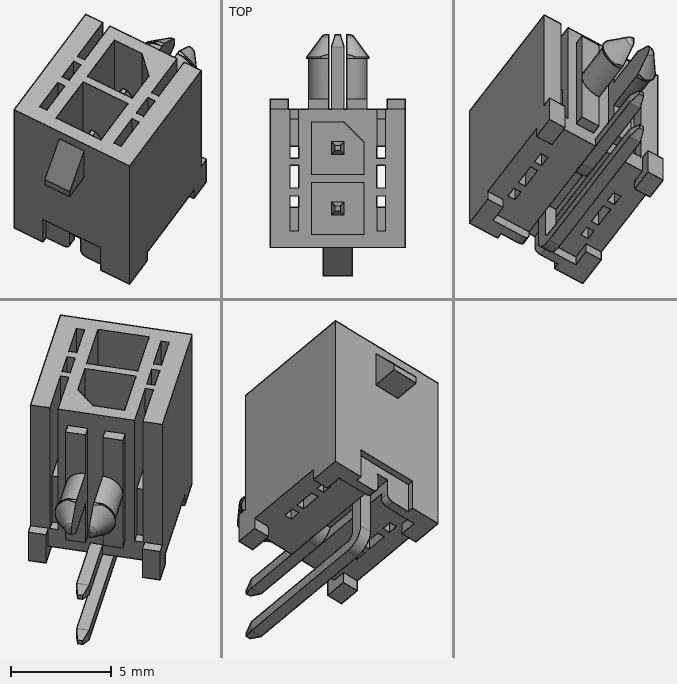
import cadquery as cq
import math


housing_width = 6.7
housing_depth = 6.87
housing_height = 9.91
overall_height = 12.22

foot_inner_x = 2.45
foot_protrusion = 0.5
foot_height = 1.9
rear_foot_start_y = 6.16
front_foot_end_y = 1.7
underside_z = 0.7
recess_width = 3.35
recess_height = 1.9
recess_depth = 0.32
skirt_thickness = 0.45
slot_mouth_radius = 0.37

cavity_size = 2.6
cavity_floor_z = 2.45
key_chamfer = 1.0
front_contact_y = 1.94
rear_contact_y = 4.94
pin_size = 0.64
pin_bend_radius = 0.99
pin_end_y = 10.57
pin_top_z = 8.07
pin_taper_length = 0.61
pin_tip_size = 0.26
front_tail_z = housing_height - overall_height
rear_tail_z = underside_z
pin_slot_top_z = rear_tail_z + pin_size

side_slot_x = 2.15
side_slot_width = 0.42
front_slot = (0.82, 2.55)
middle_slot = (2.97, 4.08)
rear_slot = (4.44, housing_depth)
open_region = (2.02, 5.02)
blind_slot_floor_z = housing_height / 2
rear_groove_start_y = 6.38
rear_groove_floor_z = foot_height

latch_width = 1.44
latch_reach = 1.39
latch_top_z = 9.32
latch_bottom_z = 7.11
latch_lip_height = 0.42

peg_z = 5.34
peg_gap = 0.88
peg_radius = 1.01
peg_head_radius = 1.1
peg_head_start_y = 9.37
peg_end_y = pin_end_y
peg_lip_thickness = 0.09
peg_tip_radius = 0.28
peg_nose_fillet = 0.3
pad_top_z = 8.92


def box(x_range, y_range, z_range):
    """Axis-aligned block given by its limits along X, Y and Z."""
    limits = (x_range, y_range, z_range)
    sizes = [high - low for low, high in limits]
    corner = tuple(low for low, high in limits)
    return cq.Workplane("XY").box(*sizes, centered=False).translate(corner)


def centered_box(width, y_range, z_range):
    """Block symmetric about the X = 0 plane."""
    return box((-width / 2, width / 2), y_range, z_range)


def both_sides(shape):
    """The shape and its mirror image across the X = 0 plane."""
    return shape.union(shape.mirror("YZ"))


def make_rear_feet():
    rear_y = housing_depth + foot_protrusion
    return both_sides(
        box((foot_inner_x, housing_width / 2), (rear_foot_start_y, rear_y), (0, foot_height))
    )


def make_underside_hollow():
    """Opening between the feet, and the full-width gap between front and rear feet."""
    hollow = centered_box(
        2 * foot_inner_x, (recess_depth + skirt_thickness, housing_depth), (0, underside_z)
    )
    side_gap = centered_box(housing_width, (front_foot_end_y, rear_foot_start_y), (0, underside_z))
    return hollow.union(side_gap)


def make_front_recess():
    return centered_box(recess_width, (0, recess_depth), (0, recess_height))


def make_pin_slot():
    """Slot along Y that holds the rear tail, its mouth rounded outwards at the bottom."""
    half = pin_size / 2
    mouth = half + slot_mouth_radius
    arc_mid = slot_mouth_radius * (1 - math.cos(math.radians(45)))
    return (
        cq.Workplane("XZ", origin=(0, recess_depth, 0))
        .moveTo(-mouth, 0)
        .threePointArc((-half - arc_mid, arc_mid), (-half, slot_mouth_radius))
        .lineTo(-half, pin_slot_top_z)
        .lineTo(half, pin_slot_top_z)
        .lineTo(half, slot_mouth_radius)
        .threePointArc((half + arc_mid, arc_mid), (mouth, 0))
        .close()
        .extrude(recess_depth - housing_depth)
    )


def make_cavity(contact_y):
    half = cavity_size / 2
    return centered_box(
        cavity_size, (contact_y - half, contact_y + half), (cavity_floor_z, housing_height)
    )


def make_side_slots():
    """Slots open from the top; only the stretch inside the open region goes right through."""
    x_range = (side_slot_x - side_slot_width / 2, side_slot_x + side_slot_width / 2)
    open_start, open_end = open_region
    blind = (blind_slot_floor_z, housing_height)
    through = (0, housing_height)
    slots = box(x_range, middle_slot, through)
    for slot_start, slot_end in (front_slot, rear_slot):
        slots = slots.union(box(x_range, (slot_start, slot_end), blind))
        through_y = (max(slot_start, open_start), min(slot_end, open_end))
        slots = slots.union(box(x_range, through_y, through))
    rear_groove = box(
        x_range, (rear_groove_start_y, housing_depth), (rear_groove_floor_z, housing_height)
    )
    return both_sides(slots.union(rear_groove))


def make_latch():
    return (
        cq.Workplane("YZ")
        .polyline([
            (0, latch_bottom_z),
            (-latch_reach, latch_bottom_z),
            (-latch_reach, latch_bottom_z + latch_lip_height),
            (0, latch_top_z),
        ])
        .close()
        .extrude(latch_width / 2, both=True)
    )


def make_peg_half():
    """Right half of the split peg: half-round shank, cone head with a lip, and its pad."""
    axis_x = peg_gap / 2
    pad_y = housing_depth + foot_protrusion
    cone_start_y = peg_head_start_y + peg_lip_thickness
    half_peg = (
        cq.Workplane("XY")
        .polyline([
            (0, housing_depth),
            (peg_radius, housing_depth),
            (peg_radius, peg_head_start_y),
            (peg_head_radius, peg_head_start_y),
            (peg_head_radius, cone_start_y),
            (peg_tip_radius, peg_end_y),
            (0, peg_end_y),
        ])
        .close()
        .revolve(360, (0, 0, 0), (0, 1, 0))
        .faces(">Y").edges().fillet(peg_nose_fillet)
        .intersect(
            box((0, peg_head_radius), (housing_depth, peg_end_y), (-peg_radius, peg_radius))
        )
        .translate((axis_x, 0, peg_z))
    )
    pad = box(
        (axis_x, axis_x + peg_radius), (housing_depth, pad_y), (2 * peg_z - pad_top_z, pad_top_z)
    )
    return pad.union(half_peg)


def make_pin_tip(start, direction, x_dir):
    """Tapered square pin tip standing on the point start."""
    base = cq.Workplane(cq.Plane(origin=start, xDir=x_dir, normal=direction))
    return (
        base.rect(pin_size, pin_size)
        .workplane(offset=pin_taper_length)
        .rect(pin_tip_size, pin_tip_size)
        .loft(ruled=True)
    )


def make_pin(contact_y, tail_z):
    """Square pin: upright contact, rounded bend, then a tail running along +Y."""
    half = pin_size / 2
    inner_radius = pin_bend_radius - pin_size
    upright_end_z = pin_top_z - pin_taper_length
    tail_end_y = pin_end_y - pin_taper_length
    front_y = contact_y - half
    back_y = contact_y + half
    tail_top_z = tail_z + pin_size
    upright = centered_box(pin_size, (front_y, back_y), (tail_z, upright_end_z))
    tail = centered_box(pin_size, (front_y, tail_end_y), (tail_z, tail_top_z))
    bar = upright.union(tail)
    bar = bar.edges(cq.selectors.NearestToPointSelector((0, front_y, tail_z))).fillet(pin_bend_radius)
    bar = bar.edges(cq.selectors.NearestToPointSelector((0, back_y, tail_top_z))).fillet(inner_radius)
    contact_tip = make_pin_tip((0, contact_y, upright_end_z), (0, 0, 1), (1, 0, 0))
    tail_tip = make_pin_tip((0, tail_end_y, tail_z + half), (0, 1, 0), (1, 0, 0))
    return bar.union(contact_tip).union(tail_tip)


def make_housing(pin_solids):
    body = centered_box(housing_width, (0, housing_depth), (0, housing_height))
    body = body.cut(make_underside_hollow())
    body = body.cut(make_front_recess())
    body = body.cut(make_pin_slot())
    body = body.cut(make_cavity(front_contact_y))
    body = body.cut(make_cavity(rear_contact_y).edges("|Z and >X and >Y").chamfer(key_chamfer))
    body = body.cut(make_side_slots())
    body = body.union(make_rear_feet())
    body = body.union(make_latch())
    body = body.union(both_sides(make_peg_half()))
    for pin in pin_solids:
        body = body.cut(pin)
    return body


pins = []
for contact_y, tail_z in ((front_contact_y, front_tail_z), (rear_contact_y, rear_tail_z)):
    pins.append(make_pin(contact_y, tail_z))
housing = make_housing(pins)

result = cq.Compound.makeCompound([housing.solids().val(), *[pin.solids().val() for pin in pins]])